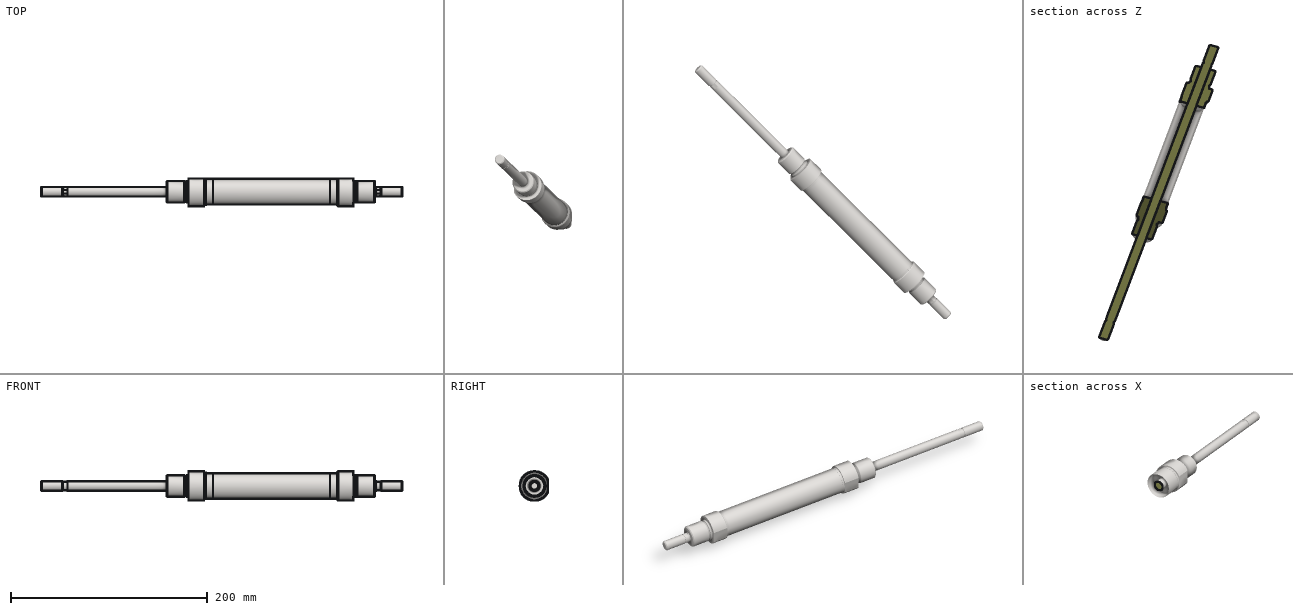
import cadquery as cq

ROD_LENGTH = 368.0
ROD_RADIUS = 5.0
ROD_TIP_CHAMFER = 1.0

TIP_LENGTH = 21.5
RELIEF_WIDTH = 1.0
RELIEF_RADIUS = 4.25
FLATS_END = 27.0
FLATS_SECTION_RADIUS = 4.9
ACROSS_FLATS = 9.0

LEFT_ROD_PROJECTION = 128.0
RIGHT_ROD_PROJECTION = 28.0
LEFT_COVER_START = LEFT_ROD_PROJECTION
RIGHT_COVER_END = ROD_LENGTH - RIGHT_ROD_PROJECTION
NECK_RADIUS = 11.0
NECK_LENGTH = 22.0
NECK_CHAMFER = 1.0
NECK_GROOVE_OFFSET = 2.0
NECK_GROOVE_WIDTH = 2.0
NECK_GROOVE_RADIUS = 10.0
LEFT_GROOVE_WALL_RUN = 1.0
RIGHT_GROOVE_WALL_RUN = 0.0
COLLAR_RADIUS = 15.0
COLLAR_LENGTH = 16.0
COLLAR_FLAT_Y = 13.5
SHOULDER_RADIUS = 13.5
LEFT_SHOULDER_LENGTH = 2.0
RIGHT_SHOULDER_LENGTH = 1.0
SPIGOT_LENGTH = 7.0
COLLAR_CHAMFER = 0.8

TUBE_RADIUS = 13.25
TUBE_BORE_RADIUS = 12.5
TUBE_START = LEFT_COVER_START + NECK_LENGTH + COLLAR_LENGTH + LEFT_SHOULDER_LENGTH
TUBE_END = RIGHT_COVER_END - NECK_LENGTH - COLLAR_LENGTH - RIGHT_SHOULDER_LENGTH


def cylinder(start, length, radius):
    """Round bar on the X axis."""
    return cq.Workplane("YZ", origin=(start, 0, 0)).circle(radius).extrude(length)


def ring(start, length, outer_radius, inner_radius):
    """Round sleeve on the X axis."""
    return cq.Workplane("YZ", origin=(start, 0, 0)).circle(outer_radius).circle(inner_radius).extrude(length)


def slab_above(start, end, z_low):
    """Block that cuts the rod down to a flat at height z_low."""
    return cq.Workplane("XY", origin=(start, 0, z_low)).box(
        end - start, 2 * ROD_RADIUS, ROD_RADIUS, centered=(False, True, False)
    )


def rod_end_cuts():
    """Thread relief, slimmer section and wrench flats at the left end of the rod."""
    relief_end = TIP_LENGTH + RELIEF_WIDTH
    upper_flat = slab_above(relief_end, FLATS_END, ACROSS_FLATS / 2)
    lower_flat = upper_flat.mirror("XY")
    relief = ring(TIP_LENGTH, RELIEF_WIDTH, 2 * ROD_RADIUS, RELIEF_RADIUS)
    slimming = ring(relief_end, FLATS_END - relief_end, 2 * ROD_RADIUS, FLATS_SECTION_RADIUS)
    return [relief, slimming, upper_flat, lower_flat]


def make_rod():
    rod = cylinder(0, ROD_LENGTH, ROD_RADIUS).faces("<X or >X").chamfer(ROD_TIP_CHAMFER)
    for cut in rod_end_cuts():
        opposite_cut = cut.mirror("YZ").translate((ROD_LENGTH, 0, 0))
        rod = rod.cut(cut).cut(opposite_cut)
    return rod


def revolve_about_x(points):
    """Solid of revolution from (position along X, radius) points."""
    return cq.Workplane("XY").polyline(points).close().revolve(360, (0, 0, 0), (1, 0, 0))


def neck_groove(wall_run):
    """Groove between neck and collar; its side walls spread by wall_run along X at the neck surface."""
    floor_end = NECK_LENGTH - NECK_GROOVE_OFFSET - wall_run / 2
    floor_start = NECK_LENGTH - NECK_GROOVE_OFFSET - NECK_GROOVE_WIDTH + wall_run / 2
    return revolve_about_x(
        [
            (floor_start, NECK_GROOVE_RADIUS),
            (floor_end, NECK_GROOVE_RADIUS),
            (floor_end + wall_run, NECK_RADIUS),
            (floor_start - wall_run, NECK_RADIUS),
        ]
    )


def make_cover(groove_wall_run, shoulder_length, collar_chamfered):
    """Left-hand cover with its outer face at X = 0; the right one is its mirror image."""
    neck = cylinder(0, NECK_LENGTH, NECK_RADIUS).faces("<X").chamfer(NECK_CHAMFER)
    neck = neck.cut(neck_groove(groove_wall_run))

    collar = cylinder(NECK_LENGTH, COLLAR_LENGTH, COLLAR_RADIUS)
    if collar_chamfered:
        collar = collar.faces(">X").edges().chamfer(COLLAR_CHAMFER)
    flat_cut = (
        cq.Workplane("XY", origin=(NECK_LENGTH, COLLAR_FLAT_Y, 0))
        .box(COLLAR_LENGTH, COLLAR_RADIUS, 2 * COLLAR_RADIUS, centered=(False, False, True))
    )
    collar = collar.cut(flat_cut)

    collar_end = NECK_LENGTH + COLLAR_LENGTH
    shoulder = cylinder(collar_end, shoulder_length, SHOULDER_RADIUS)
    spigot = cylinder(collar_end + shoulder_length, SPIGOT_LENGTH, TUBE_BORE_RADIUS)
    cover_length = collar_end + shoulder_length + SPIGOT_LENGTH
    cover = neck.union(collar).union(shoulder).union(spigot)
    return cover.cut(cylinder(0, cover_length, ROD_RADIUS))


rod = make_rod()
tube = ring(TUBE_START, TUBE_END - TUBE_START, TUBE_RADIUS, TUBE_BORE_RADIUS)
left_cover = make_cover(LEFT_GROOVE_WALL_RUN, LEFT_SHOULDER_LENGTH, collar_chamfered=False)
left_cover = left_cover.translate((LEFT_COVER_START, 0, 0))
right_cover = make_cover(RIGHT_GROOVE_WALL_RUN, RIGHT_SHOULDER_LENGTH, collar_chamfered=True)
right_cover = right_cover.mirror("YZ").translate((RIGHT_COVER_END, 0, 0))

result = cq.Compound.makeCompound([rod.val(), tube.val(), left_cover.val(), right_cover.val()])